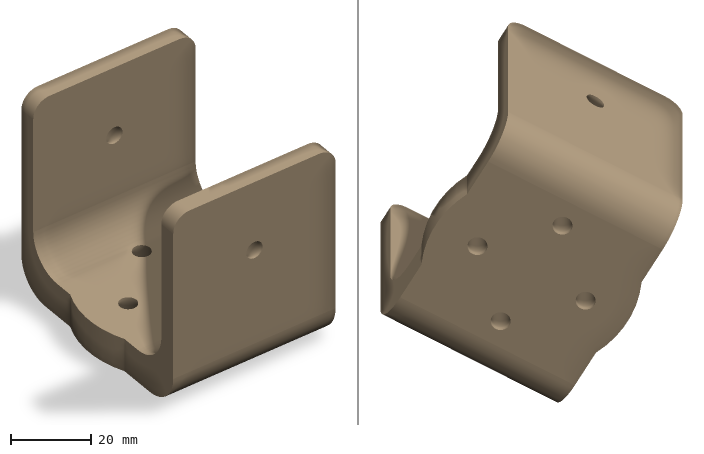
import cadquery as cq

width = 64.0
depth = 50.0
height = 60.0
wall = 5.0
floor = 2 * wall
bend_radius = 2 * wall
ear_radius = wall

pad_diameter = 55.0
hole_diameter = 5.0
floor_hole_circle_radius = 15.5
floor_hole_count = 4
side_hole_height = 39.0


def make_channel():
    """U-shaped channel running along Y, with rounded bends and ear corners."""
    outer = (
        cq.Workplane("XY")
        .box(width, depth, height, centered=(True, True, False))
        .edges("|Y and <Z")
        .fillet(bend_radius)
        .edges("|X and >Z")
        .fillet(ear_radius)
    )
    cavity = (
        cq.Workplane("XY")
        .workplane(offset=floor)
        .box(width - 2 * wall, depth, height, centered=(True, True, False))
        .edges("|Y and <Z")
        .fillet(bend_radius)
    )
    return outer.cut(cavity)


def make_base_pad():
    """Disc within the floor that bulges past both open ends, clipped to the flat floor width."""
    flat_width = width - 2 * (wall + bend_radius)
    disc = cq.Workplane("XY").circle(pad_diameter / 2).extrude(floor)
    flat_strip = cq.Workplane("XY").rect(flat_width, pad_diameter).extrude(floor)
    return disc.intersect(flat_strip)


def make_floor_holes():
    """Bores through the floor, tall enough to clear the rising inner bends."""
    return (
        cq.Workplane("XY")
        .polarArray(floor_hole_circle_radius, 0, 360, floor_hole_count)
        .circle(hole_diameter / 2)
        .extrude(floor + bend_radius)
    )


def make_side_hole():
    """Single bore passing through both walls."""
    return (
        cq.Workplane("YZ")
        .center(0, side_hole_height)
        .circle(hole_diameter / 2)
        .extrude(width / 2, both=True)
    )


result = make_channel().union(make_base_pad()).cut(make_floor_holes()).cut(make_side_hole())